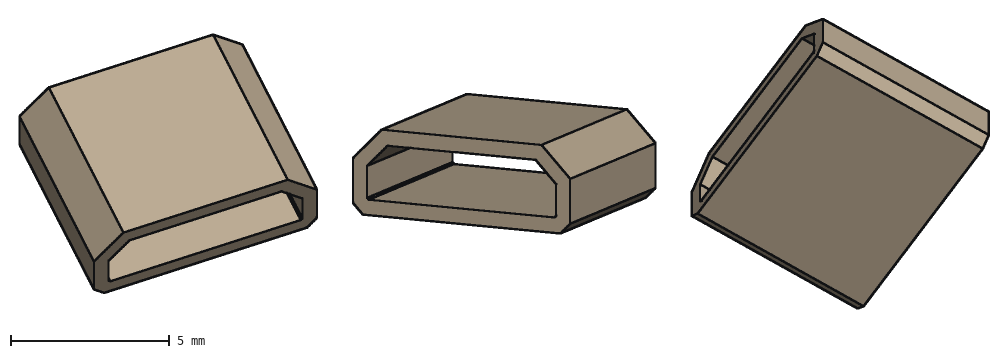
import cadquery as cq
import math

length = 6.25
width = 7.6
height = 2.8

wall = 0.5
top_chamfer = 1.0
bottom_chamfer = 0.35

inner_chamfer_loss = wall * (2 - math.sqrt(2))


def chamfered_bar(bar_width, bar_height, top_leg, bottom_leg):
    """Solid bar along X, centred on the origin, with 45-degree long corners."""
    return (
        cq.Workplane("XY")
        .box(length, bar_width, bar_height)
        .edges("|X and >Z")
        .chamfer(top_leg)
        .edges("|X and <Z")
        .chamfer(bottom_leg)
    )


outer = chamfered_bar(width, height, top_chamfer, bottom_chamfer)

opening = chamfered_bar(
    width - 2 * wall,
    height - 2 * wall,
    top_chamfer - inner_chamfer_loss,
    bottom_chamfer - inner_chamfer_loss,
)

result = outer.cut(opening)